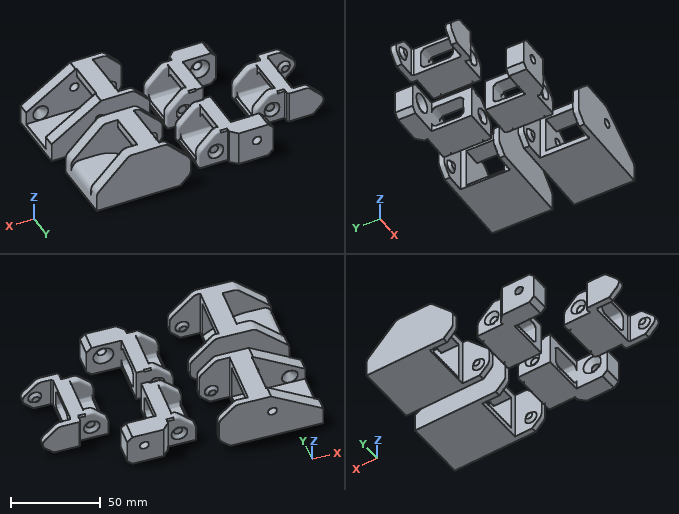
import cadquery as cq
import math

EAR_GAP = 31.9
EAR_THICKNESS = 3.6
LINK_WIDTH = EAR_GAP + 2 * EAR_THICKNESS
CORNER_RADIUS = 4.8
EAR_LOWER_CUT = 6.4

PIN_OFFSET = 7.2
PIN_HEIGHT = 8.7
PIN_BASE_DIAMETER = 7.8
PIN_TIP_DIAMETER = 4.2
PIN_LENGTH = 1.9

FORK_WIDTH = 31.1
FORK_END_HEIGHT = 10.7
FORK_PLATE_THICKNESS = 8.7
WINDOW_WIDTH = 20.5
WINDOW_BOTTOM = 3.0
WINDOW_TOP = 17.0
WINDOW_CHAMFER = 2.0
WINDOW_CORNER_RADIUS = 1.5
LIP_CHAMFER = 1.0

SOCKET_MOUTH_DIAMETER = 9.3
SOCKET_END_DIAMETER = 5.0
SOCKET_DEPTH = 2.2
SOCKET_SETBACK = 10.1
HOLE_DIAMETER = 5.3
SINK_DIAMETER = 11.8
SINK_DEPTH = (SINK_DIAMETER - HOLE_DIAMETER) / 2

MIDDLE_Y = 0.6
MIDDLE_LENGTH = 40.2
MIDDLE_HEIGHT = 19.8
MIDDLE_NOSE_CUT = 9.3
MIDDLE_GAP_DEPTH = 17.6
MIDDLE_SHOULDER_X = 22.3
MIDDLE_CORNER_CHAMFER = 1.0
MIDDLE_FORK_ROUNDING = 1.2

SIDE_X = 42.0
SIDE_LENGTH = 42.8
SIDE_HEIGHT = 21.6
SIDE_FORK_OFFSET = 20.0
SIDE_ARM_OUTER_Y = 21.6
SIDE_ARM_REACH = 20.7
SIDE_NOSE_CHAMFER = 3.1
SIDE_SHOULDER_X = 25.4
SIDE_SHOULDER_CHAMFER = 4.0
SIDE_HOLE_X = 10.1
SIDE_HOLE_HEIGHT = 12.8
SIDE_FORK_ROUNDING = 1.1

END_X = 94.6
END_OFFSET_Y = 25.7
END_HEIGHT = 32.0
END_GAP_DEPTH = 17.9
END_SLOT_X = 29.7
END_SLOT_WIDTH = 24.6
END_WINDOW_TOP = 27.1

POINTED_LENGTH = 61.0
POINTED_NOSE_CUT = 10.0
POINTED_TAIL_HEIGHT = 12.0
POINTED_SLOPE_X = 30.4
POINTED_FLOOR = 3.9
POINTED_HOLE_X = 31.1
POINTED_HOLE_HEIGHT = 19.8
POINTED_SOCKET_X = 52.0
POINTED_SOCKET_TIP = 0.3
POINTED_SOCKET_DEPTH = (SOCKET_MOUTH_DIAMETER - POINTED_SOCKET_TIP) / 2

RAMPED_LENGTH = 58.4
RAMPED_NOSE_CUT = 15.0
RAMPED_TAIL_HEIGHT = 11.8
RAMP_ANGLE = 30
RAMP_CORNER_X = 35.8
RAMP_BLEND_RADIUS = 28.0
RAMP_END_RADIUS = 5.3

CLEARANCE = 1.5


def block(x0, x1, y0, y1, z0, z1):
    """Box between two opposite corners."""
    box = cq.Workplane("XY").box(x1 - x0, y1 - y0, z1 - z0, centered=False)
    return box.translate((x0, y0, z0))


def centred_block(x0, x1, width, z0, z1):
    """Box that is symmetric about Y = 0."""
    return block(x0, x1, -width / 2, width / 2, z0, z1)


def round_corner(prism, corner, radius):
    x, z = corner
    return prism.edges(cq.selectors.NearestToPointSelector((x, 0, z))).fillet(radius)


def side_prism(points, width, rounded=()):
    """Extrude an X-Z outline symmetrically about Y = 0 and round the listed corners."""
    prism = cq.Workplane("XZ").polyline(points).close().extrude(width / 2, both=True)
    for corner in rounded:
        prism = round_corner(prism, corner, CORNER_RADIUS)
    return prism


def cone_on_y(x, y, z, start_diameter, end_diameter, length, direction):
    """Cone frustum starting at y and running along +Y or -Y (direction = 1 or -1)."""
    base = cq.Vector(x, y, z)
    axis = cq.Vector(0, direction, 0)
    return cq.Workplane(cq.Solid.makeCone(start_diameter / 2, end_diameter / 2, length, base, axis))


def hole_on_y(x, z, y0, y1):
    """Round hole along Y between two Y positions."""
    base = cq.Vector(x, y0, z)
    return cq.Workplane(cq.Solid.makeCylinder(HOLE_DIAMETER / 2, y1 - y0, base, cq.Vector(0, 1, 0)))


def ear_gap(depth, height):
    return centred_block(-CLEARANCE, depth, EAR_GAP, -CLEARANCE, height + CLEARANCE)


def add_ear_pins(body):
    """Tapered pins on the inner faces of both ears."""
    for side in (-1, 1):
        pin = cone_on_y(
            PIN_OFFSET, side * EAR_GAP / 2, PIN_HEIGHT,
            PIN_BASE_DIAMETER, PIN_TIP_DIAMETER, PIN_LENGTH, -side,
        )
        body = body.union(pin)
    return body


def window_prism(x0, x1):
    """Chamfered window with softened corners, running along X."""
    window = centred_block(x0, x1, WINDOW_WIDTH, WINDOW_BOTTOM, WINDOW_TOP)
    return window.edges("|X").chamfer(WINDOW_CHAMFER).edges("|X").fillet(WINDOW_CORNER_RADIUS)


def fork_prong(slot_x, end_x, height, rounding):
    """One prong, centred on Y = 0, with its upper and end edges rounded."""
    width = (FORK_WIDTH - WINDOW_WIDTH) / 2
    slope_x = end_x - (height - FORK_END_HEIGHT)
    slope_corners = [(end_x, FORK_END_HEIGHT), (slope_x, height)]
    outline = [(slot_x, 0), (end_x, 0), *slope_corners, (slot_x, height)]
    prong = side_prism(outline, width, slope_corners)
    return prong.faces("<Y or >Y").edges("not(<Z or <X)").fillet(rounding)


def fork_floor(slot_x, end_x, end_bevel):
    """Floor between the prongs, with the window's lower corners and a bevelled free end."""
    floor = centred_block(slot_x, end_x, WINDOW_WIDTH, 0, PIN_HEIGHT)
    floor = floor.cut(window_prism(slot_x - CLEARANCE, end_x + CLEARANCE))
    bevel_x = end_x - end_bevel
    envelope = [
        (slot_x, 0), (end_x, 0), (end_x, WINDOW_BOTTOM - end_bevel),
        (bevel_x, WINDOW_BOTTOM), (bevel_x, PIN_HEIGHT), (slot_x, PIN_HEIGHT),
    ]
    return floor.intersect(side_prism(envelope, FORK_WIDTH))


def make_fork(plate_x, shoulder_x, end_x, height, rounding):
    """Cross plate with two prongs, a floor between them and sockets in their outer faces."""
    slot_x = plate_x + FORK_PLATE_THICKNESS
    lip = centred_block(shoulder_x, slot_x, FORK_WIDTH, 0, height)
    lip = lip.edges("|X and >Z").chamfer(LIP_CHAMFER)
    body = centred_block(plate_x, shoulder_x, FORK_WIDTH, 0, height).union(lip)
    body = body.union(fork_floor(slot_x, end_x, rounding))

    prong = fork_prong(slot_x, end_x, height, rounding)
    prong_y = (FORK_WIDTH + WINDOW_WIDTH) / 4
    for side in (-1, 1):
        body = body.union(prong.translate((0, side * prong_y, 0)))
    for side in (-1, 1):
        socket = cone_on_y(
            end_x - SOCKET_SETBACK, side * FORK_WIDTH / 2, PIN_HEIGHT,
            SOCKET_MOUTH_DIAMETER, SOCKET_END_DIAMETER, SOCKET_DEPTH, -side,
        )
        body = body.cut(socket)
    return body


def make_middle_link():
    lower_corner = (0, EAR_LOWER_CUT)
    upper_corners = [(0, MIDDLE_HEIGHT - MIDDLE_NOSE_CUT), (MIDDLE_NOSE_CUT, MIDDLE_HEIGHT)]
    outline = [
        (EAR_LOWER_CUT, 0), lower_corner, *upper_corners,
        (MIDDLE_SHOULDER_X, MIDDLE_HEIGHT), (MIDDLE_SHOULDER_X, 0),
    ]
    ears = side_prism(outline, LINK_WIDTH, [lower_corner, *upper_corners])
    ears = ears.edges("|Z and >X").chamfer(MIDDLE_CORNER_CHAMFER)
    gap = ear_gap(MIDDLE_GAP_DEPTH, MIDDLE_HEIGHT)
    gap = gap.edges("|Z and >X").chamfer(MIDDLE_CORNER_CHAMFER)
    body = add_ear_pins(ears.cut(gap))
    fork = make_fork(
        MIDDLE_GAP_DEPTH, MIDDLE_SHOULDER_X, MIDDLE_LENGTH, MIDDLE_HEIGHT, MIDDLE_FORK_ROUNDING
    )
    window = window_prism(MIDDLE_GAP_DEPTH - CLEARANCE, MIDDLE_GAP_DEPTH + FORK_PLATE_THICKNESS)
    return body.union(fork).cut(window).translate((0, MIDDLE_Y, 0))


def make_side_link():
    """Side link on the +Y side, placed relative to the middle link's centre line."""
    arm_inner_y = WINDOW_WIDTH / 2
    arm = block(0, SIDE_SHOULDER_X, arm_inner_y, SIDE_ARM_OUTER_Y, 0, SIDE_HEIGHT)
    arm = arm.edges("|Y and <X").chamfer(SIDE_NOSE_CHAMFER)
    arm = arm.edges("|Z and >X and >Y").chamfer(SIDE_SHOULDER_CHAMFER)
    fork = make_fork(SIDE_ARM_REACH, SIDE_SHOULDER_X, SIDE_LENGTH, SIDE_HEIGHT, SIDE_FORK_ROUNDING)
    window = window_prism(SIDE_ARM_REACH, SIDE_ARM_REACH + FORK_PLATE_THICKNESS)
    hole = hole_on_y(SIDE_HOLE_X, SIDE_HOLE_HEIGHT, 0, SIDE_ARM_OUTER_Y + CLEARANCE)
    sink = cone_on_y(
        SIDE_HOLE_X, arm_inner_y, SIDE_HOLE_HEIGHT, SINK_DIAMETER, HOLE_DIAMETER, SINK_DEPTH, 1
    )
    body = fork.union(arm).cut(window).cut(hole).cut(sink)
    return body.translate((SIDE_X, SIDE_FORK_OFFSET, 0))


def make_end_body(length, nose_cut, tail_corners, rounded_tail, floor_z):
    """Ears, cross plate and slotted tail common to both end links."""
    lower_corner = (0, EAR_LOWER_CUT)
    upper_corners = [(0, END_HEIGHT - nose_cut), (nose_cut, END_HEIGHT)]
    outline = [(EAR_LOWER_CUT, 0), lower_corner, *upper_corners, *tail_corners, (length, 0)]
    body = side_prism(outline, LINK_WIDTH, [lower_corner, *upper_corners, *rounded_tail])
    body = body.cut(ear_gap(END_GAP_DEPTH, END_HEIGHT))
    body = body.cut(centred_block(0, length, END_SLOT_WIDTH, floor_z, END_WINDOW_TOP))
    return body.cut(centred_block(END_SLOT_X, length, END_SLOT_WIDTH, floor_z, END_HEIGHT))


def make_pointed_link():
    tail = [(POINTED_SLOPE_X, END_HEIGHT), (POINTED_LENGTH, POINTED_TAIL_HEIGHT)]
    body = make_end_body(POINTED_LENGTH, POINTED_NOSE_CUT, tail, [], POINTED_FLOOR)
    body = add_ear_pins(body)
    body = body.cut(hole_on_y(POINTED_HOLE_X, POINTED_HOLE_HEIGHT, -LINK_WIDTH, LINK_WIDTH))
    for side in (-1, 1):
        socket = cone_on_y(
            POINTED_SOCKET_X, side * END_SLOT_WIDTH / 2, PIN_HEIGHT,
            SOCKET_MOUTH_DIAMETER, POINTED_SOCKET_TIP, POINTED_SOCKET_DEPTH, side,
        )
        body = body.cut(socket)
    return body.translate((END_X, -END_OFFSET_Y, 0))


def make_ramp():
    """Rising floor that blends into a level stretch with a rounded end."""
    ramp_run = RAMP_CORNER_X - END_GAP_DEPTH
    foot_z = RAMPED_TAIL_HEIGHT - ramp_run * math.tan(math.radians(RAMP_ANGLE))
    ramp_corner = (RAMP_CORNER_X, RAMPED_TAIL_HEIGHT)
    end_corner = (RAMPED_LENGTH, RAMPED_TAIL_HEIGHT)
    outline = [
        (END_GAP_DEPTH, 0), (END_GAP_DEPTH, foot_z), ramp_corner, end_corner, (RAMPED_LENGTH, 0)
    ]
    ramp = side_prism(outline, END_SLOT_WIDTH)
    ramp = round_corner(ramp, ramp_corner, RAMP_BLEND_RADIUS)
    return round_corner(ramp, end_corner, RAMP_END_RADIUS)


def make_ramped_link():
    slope_x = RAMPED_LENGTH - (END_HEIGHT - RAMPED_TAIL_HEIGHT)
    tail = [(slope_x, END_HEIGHT), (RAMPED_LENGTH, RAMPED_TAIL_HEIGHT)]
    body = make_end_body(RAMPED_LENGTH, RAMPED_NOSE_CUT, tail, tail, 0)
    body = add_ear_pins(body.union(make_ramp()))
    return body.translate((END_X, END_OFFSET_Y, 0))


middle_link = make_middle_link()
side_link = make_side_link()
side_links = []
for link in (side_link, side_link.mirror("XZ")):
    side_links.append(link.translate((0, MIDDLE_Y, 0)))
pointed_link = make_pointed_link()
ramped_link = make_ramped_link()

result = cq.Compound.makeCompound([
    middle_link.val(),
    *[link.val() for link in side_links],
    pointed_link.val(),
    ramped_link.val(),
])